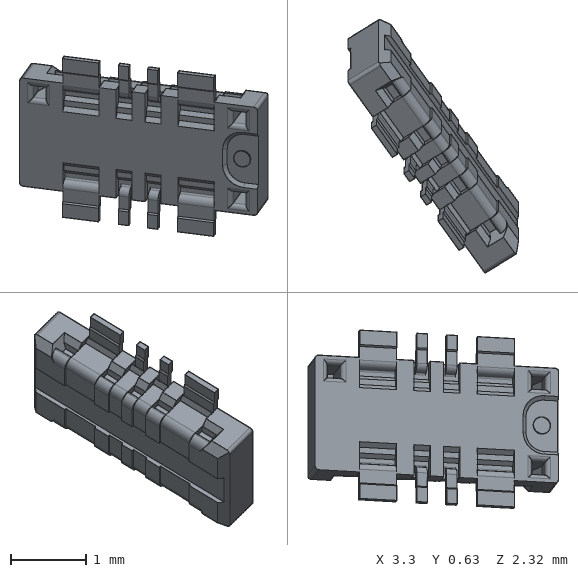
import cadquery as cq
import math

OVERALL_WIDTH = 2.32

LENGTH = 3.3
WIDTH = 1.58
DEPTH = 0.607
CORNER_RADIUS = 0.05
BACK_CHAMFER = 0.12
BACK_SLOT_WIDTH = 0.5
BACK_SLOT_DEPTH = 0.063
SIDE = WIDTH / 2
END = LENGTH / 2

GROOVE_LENGTH = 2.685
GROOVE_END_DRAFT = 30
GROOVE_RAMP_START_Y = 0.238
GROOVE_RAMP_END_Y = 0.317
GROOVE_RAMP_DROP = 0.085
GROOVE_FLOOR_START_Y = 0.335
GROOVE_FLOOR_END_Y = 0.44
GROOVE_DEPTH = 0.17
RAIL_LIP_Y = 0.47
RAIL_DROP = 0.073
RAIL_RADIUS = 0.12

WIDE_TERMINAL_X = 0.8
WIDE_TERMINAL_WIDTH = 0.5
NARROW_TERMINAL_X = 0.2
NARROW_BAY_WIDTH = 0.22
NARROW_FOOT_WIDTH = 0.142
TERMINALS = [
    (sign * x, bay_width, foot_width)
    for sign in (-1, 1)
    for x, bay_width, foot_width in (
        (WIDE_TERMINAL_X, WIDE_TERMINAL_WIDTH, WIDE_TERMINAL_WIDTH),
        (NARROW_TERMINAL_X, NARROW_BAY_WIDTH, NARROW_FOOT_WIDTH),
    )
]

WINDOW_START_Z = 0.373
WINDOW_LEDGE_Y = 0.06
WINDOW_LEDGE_END_Z = 0.51
WINDOW_FLOOR_Y = 0.112

LEG_FLARE_END_Y = 0.16
LEG_DROP = 0.075
LEG_RADIUS = 0.112
LEG_BACK_Y = 0.58
LEG_ROOT_Z = 0.528

FOOT_THICKNESS = 0.08
FOOT_OFFSET = 0.023
FOOT_STEP_START_Z = 0.94
FOOT_STEP_END_Z = 0.96
BEND_START_Z = 0.752
BEND_LENGTH = 0.125
BEND_OUTER_RADIUS = 0.102
BEND_INNER_RADIUS = 0.03
FOOT_OVERLAP = 0.01

SOCKET_X = 1.385
SOCKET_Z = 0.587
SOCKET_MOUTH = 0.305
SOCKET_MOUTH_RADIUS = 0.063
SOCKET_STRAIGHT_DEPTH = 0.265
SOCKET_FLOOR_SLOPE = 70

RECESS_START_X = 1.168
RECESS_WIDTH = 0.805
RECESS_RADIUS = 0.29
RECESS_DEPTH = 0.045
RECESS_WALL_INSET = 0.05
PAD_X = 1.43
PAD_DIAMETER = 0.23
PAD_HEIGHT = 0.023

CLEARANCE = 0.033


def across(outline, x, width):
    """Extrude a closed (y, z) outline along X, centred on x."""
    return outline.extrude(width / 2, both=True).translate((x, 0, 0))


def on_both_sides(shape):
    """Pair a shape on the +Z side with its mirror image on the -Z side."""
    return shape.union(shape.mirror("XY"))


def point_on_circle(centre_y, centre_z, radius, angle):
    """Point on a circle in the YZ plane, with the angle in degrees from +Y."""
    turn = math.radians(angle)
    return centre_y + radius * math.cos(turn), centre_z + radius * math.sin(turn)


def housing():
    block = cq.Workplane("XY").box(LENGTH, DEPTH, WIDTH).translate((0, DEPTH / 2, 0))
    block = block.faces(">Y").chamfer(BACK_CHAMFER)
    corners = cq.Workplane("XZ").rect(LENGTH, WIDTH).extrude(-DEPTH).edges("|Y").fillet(CORNER_RADIUS)
    slot = cq.Workplane("XY").box(LENGTH, 2 * BACK_SLOT_DEPTH, BACK_SLOT_WIDTH).translate((0, DEPTH, 0))
    return block.intersect(corners).cut(slot)


def side_groove():
    rail_z = SIDE - RAIL_DROP
    rail_middle = point_on_circle(DEPTH - RAIL_RADIUS, rail_z - RAIL_RADIUS, RAIL_RADIUS, 45)
    outline = (
        cq.Workplane("YZ")
        .moveTo(GROOVE_RAMP_START_Y, SIDE)
        .lineTo(GROOVE_RAMP_END_Y, SIDE - GROOVE_RAMP_DROP)
        .lineTo(GROOVE_FLOOR_START_Y, SIDE - GROOVE_DEPTH)
        .lineTo(GROOVE_FLOOR_END_Y, SIDE - GROOVE_DEPTH)
        .lineTo(RAIL_LIP_Y, rail_z)
        .lineTo(DEPTH - RAIL_RADIUS, rail_z)
        .threePointArc(rail_middle, (DEPTH, rail_z - RAIL_RADIUS))
        .lineTo(DEPTH + CLEARANCE, rail_z - RAIL_RADIUS)
        .lineTo(DEPTH + CLEARANCE, SIDE)
        .close()
    )
    half_top = GROOVE_LENGTH / 2
    envelope_depth = RAIL_DROP + RAIL_RADIUS
    half_bottom = half_top - envelope_depth * math.tan(math.radians(GROOVE_END_DRAFT))
    envelope = (
        cq.Workplane("XZ")
        .polyline([
            (-half_top, SIDE),
            (half_top, SIDE),
            (half_bottom, SIDE - envelope_depth),
            (-half_bottom, SIDE - envelope_depth),
        ])
        .close()
        .extrude(-(DEPTH + CLEARANCE))
    )
    return across(outline, 0, GROOVE_LENGTH).intersect(envelope)


def leg_blank(x, width):
    """Block that fills the groove across one terminal before its leg is shaped."""
    leg_depth = LEG_BACK_Y - WINDOW_FLOOR_Y
    leg_height = SIDE - LEG_ROOT_Z
    outline = cq.Workplane("YZ").moveTo(WINDOW_FLOOR_Y, LEG_ROOT_Z)
    outline = outline.rect(leg_depth, leg_height, centered=False)
    return across(outline, x, width)


def window(x, width):
    ledge_start_z = WINDOW_START_Z + WINDOW_LEDGE_Y
    floor_start_z = WINDOW_LEDGE_END_Z + WINDOW_FLOOR_Y - WINDOW_LEDGE_Y
    outline = cq.Workplane("YZ").polyline([
        (0, WINDOW_START_Z),
        (WINDOW_LEDGE_Y, ledge_start_z),
        (WINDOW_LEDGE_Y, WINDOW_LEDGE_END_Z),
        (WINDOW_FLOOR_Y, floor_start_z),
        (WINDOW_FLOOR_Y, SIDE + CLEARANCE),
        (0, SIDE + CLEARANCE),
    ]).close()
    return across(outline, x, width)


def leg_relief(x, width):
    """Space outside a leg: above its flared foot, over its rounded top and down its back."""
    leg_z = SIDE - LEG_DROP
    crest_middle = point_on_circle(LEG_BACK_Y - LEG_RADIUS, leg_z - LEG_RADIUS, LEG_RADIUS, 45)
    outline = (
        cq.Workplane("YZ")
        .moveTo(WINDOW_FLOOR_Y, SIDE)
        .lineTo(LEG_FLARE_END_Y, leg_z)
        .lineTo(LEG_BACK_Y - LEG_RADIUS, leg_z)
        .threePointArc(crest_middle, (LEG_BACK_Y, leg_z - LEG_RADIUS))
        .lineTo(LEG_BACK_Y, 0)
        .lineTo(DEPTH + CLEARANCE, 0)
        .lineTo(DEPTH + CLEARANCE, SIDE + CLEARANCE)
        .lineTo(WINDOW_FLOOR_Y, SIDE + CLEARANCE)
        .close()
    )
    return across(outline, x, width)


def foot(x, width):
    """Soldering foot: an S-bend out of the window floor, then a tail stepped down to the board."""
    sweep = 2 * math.atan2(WINDOW_FLOOR_Y, BEND_LENGTH)
    small_radius = BEND_LENGTH / math.sin(sweep) - BEND_OUTER_RADIUS
    bend_end_z = BEND_START_Z - BEND_LENGTH
    sweep_degrees = math.degrees(sweep)
    outer_arc = (BEND_OUTER_RADIUS, BEND_START_Z, BEND_OUTER_RADIUS)
    outer_middle = point_on_circle(*outer_arc, 180 + sweep_degrees / 2)
    joint = point_on_circle(*outer_arc, 180 + sweep_degrees)
    small_middle = point_on_circle(WINDOW_FLOOR_Y - small_radius, bend_end_z, small_radius, sweep_degrees / 2)
    inner_y = FOOT_THICKNESS + BEND_INNER_RADIUS
    inner_middle = point_on_circle(inner_y, BEND_START_Z, BEND_INNER_RADIUS, 225)
    tip_z = OVERALL_WIDTH / 2
    outline = (
        cq.Workplane("YZ")
        .moveTo(0, BEND_START_Z)
        .threePointArc(outer_middle, joint)
        .threePointArc(small_middle, (WINDOW_FLOOR_Y, bend_end_z))
        .lineTo(WINDOW_FLOOR_Y + FOOT_OVERLAP, bend_end_z)
        .lineTo(WINDOW_FLOOR_Y + FOOT_OVERLAP, BEND_START_Z - BEND_INNER_RADIUS)
        .lineTo(inner_y, BEND_START_Z - BEND_INNER_RADIUS)
        .threePointArc(inner_middle, (FOOT_THICKNESS, BEND_START_Z))
        .lineTo(FOOT_THICKNESS, FOOT_STEP_START_Z)
        .lineTo(FOOT_THICKNESS - FOOT_OFFSET, FOOT_STEP_END_Z)
        .lineTo(FOOT_THICKNESS - FOOT_OFFSET, tip_z)
        .lineTo(-FOOT_OFFSET, tip_z)
        .lineTo(-FOOT_OFFSET, FOOT_STEP_END_Z)
        .lineTo(0, FOOT_STEP_START_Z)
        .close()
    )
    return across(outline, x, width)


def socket(side, z):
    """Square socket at x = side * SOCKET_X; the outer half of its floor slopes up to the end."""
    half_hole = SOCKET_MOUTH / 2 - SOCKET_MOUTH_RADIUS
    half_mouth = SOCKET_MOUTH / 2
    floor_y = SOCKET_STRAIGHT_DEPTH + half_hole * math.tan(math.radians(SOCKET_FLOOR_SLOPE))
    hole = (
        cq.Workplane("XY")
        .polyline([
            (-half_hole, 0),
            (half_hole, 0),
            (half_hole, SOCKET_STRAIGHT_DEPTH),
            (0, floor_y),
            (-half_hole, floor_y),
        ])
        .close()
        .extrude(half_hole, both=True)
    )
    bulge = SOCKET_MOUTH_RADIUS * (1 - math.cos(math.radians(45)))
    flare = cq.Workplane("XY").moveTo(-half_mouth, 0).lineTo(half_mouth, 0)
    flare = flare.threePointArc((half_hole + bulge, bulge), (half_hole, SOCKET_MOUTH_RADIUS))
    flare = flare.lineTo(-half_hole, SOCKET_MOUTH_RADIUS)
    flare = flare.threePointArc((-half_hole - bulge, bulge), (-half_mouth, 0)).close()
    flare = flare.extrude(half_mouth, both=True)
    mouth = flare.intersect(flare.rotate((0, 0, 0), (0, 1, 0), 90))
    shape = hole.union(mouth)
    if side < 0:
        shape = shape.mirror("YZ")
    return shape.translate((side * SOCKET_X, 0, z))


def end_recess():
    length = 2 * (END - RECESS_START_X)
    taper = math.degrees(math.atan2(RECESS_WALL_INSET, RECESS_DEPTH))
    pocket = (
        cq.Workplane("XZ", origin=(END, 0, 0))
        .sketch()
        .rect(length, RECESS_WIDTH)
        .vertices()
        .fillet(RECESS_RADIUS)
        .finalize()
        .extrude(-RECESS_DEPTH, taper=taper)
    )
    pad = (
        cq.Workplane("XZ", origin=(PAD_X, RECESS_DEPTH, 0))
        .circle(PAD_DIAMETER / 2)
        .extrude(PAD_HEIGHT)
    )
    return pocket.cut(pad)


result = housing().cut(on_both_sides(side_groove()))
for terminal_x, bay_width, foot_width in TERMINALS:
    result = result.union(on_both_sides(leg_blank(terminal_x, bay_width)))
    result = result.cut(on_both_sides(leg_relief(terminal_x, bay_width)))
    result = result.cut(on_both_sides(window(terminal_x, bay_width)))
    result = result.union(on_both_sides(foot(terminal_x, foot_width)))

for socket_side, socket_z in ((-1, SOCKET_Z), (1, SOCKET_Z), (1, -SOCKET_Z)):
    result = result.cut(socket(socket_side, socket_z))

result = result.cut(end_recess())